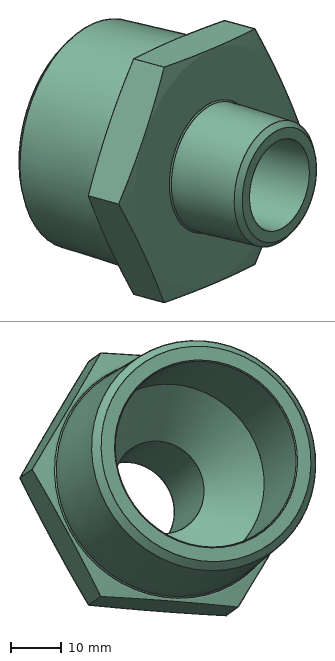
import cadquery as cq
import math

LENGTH = 49.0
ACROSS_CORNERS = 57.75
THREAD_TAPER = 1 / 16

HEX_START = 22.6
HEX_END = 31.8
HEX_FACE_DIAMETER = 49.55
HEX_CHAMFER_ANGLE = 10.0

LARGE_DIAMETER = 48.2
LARGE_TAPER_END = 19.2
LARGE_CHAMFER = 1.5

SMALL_DIAMETER = 26.75
SMALL_TAPER_START = 34.45
SMALL_CHAMFER = 1.15

ROOT_CONE = 0.3

BORE_DIAMETER = 38.0
BORE_DEPTH = 20.55
BORE_CHAMFER = 0.25
OUTLET_DIAMETER = 19.0


def revolve_profile(points):
    """Turn a closed (x, radius) outline about the X axis."""
    outline = cq.Workplane("XZ").polyline(points).close()
    return outline.revolve(360, (0, 0, 0), (1, 0, 0))


def make_hexagon():
    """Hexagon with corners on Y and both faces turned to a shallow cone."""
    prism = (
        cq.Workplane("YZ")
        .workplane(offset=HEX_START)
        .polygon(6, ACROSS_CORNERS)
        .extrude(HEX_END - HEX_START)
    )
    face_radius = HEX_FACE_DIAMETER / 2
    rim_radius = ACROSS_CORNERS / 2
    chamfer_depth = (rim_radius - face_radius) * math.tan(math.radians(HEX_CHAMFER_ANGLE))
    envelope = revolve_profile([
        (HEX_START, 0),
        (HEX_START, face_radius),
        (HEX_START + chamfer_depth, rim_radius),
        (HEX_END - chamfer_depth, rim_radius),
        (HEX_END, face_radius),
        (HEX_END, 0),
    ])
    return prism.intersect(envelope)


def make_threaded_end(end_x, taper_x, hex_x, diameter, chamfer):
    """Tapered end running from its chamfered tip at end_x to the hexagon face at hex_x."""
    inward = math.copysign(1, hex_x - end_x)
    radius = diameter / 2
    chamfer_x = end_x + inward * chamfer
    taper_radius = radius - abs(taper_x - chamfer_x) * THREAD_TAPER / 2
    return revolve_profile([
        (end_x, 0),
        (end_x, taper_radius - chamfer),
        (chamfer_x, taper_radius),
        (taper_x, radius),
        (hex_x - inward * ROOT_CONE, radius),
        (hex_x, radius + ROOT_CONE),
        (hex_x, 0),
    ])


def make_passage():
    """Large bore narrowing through a 45 degree cone to the small outlet bore."""
    bore_radius = BORE_DIAMETER / 2
    outlet_radius = OUTLET_DIAMETER / 2
    outlet_x = BORE_DEPTH + bore_radius - outlet_radius
    return revolve_profile([
        (0, 0),
        (0, bore_radius + BORE_CHAMFER),
        (BORE_CHAMFER, bore_radius),
        (BORE_DEPTH, bore_radius),
        (outlet_x, outlet_radius),
        (LENGTH, outlet_radius),
        (LENGTH, 0),
    ])


large_end = make_threaded_end(0, LARGE_TAPER_END, HEX_START, LARGE_DIAMETER, LARGE_CHAMFER)
small_end = make_threaded_end(LENGTH, SMALL_TAPER_START, HEX_END, SMALL_DIAMETER, SMALL_CHAMFER)

result = make_hexagon().union(large_end).union(small_end).cut(make_passage())